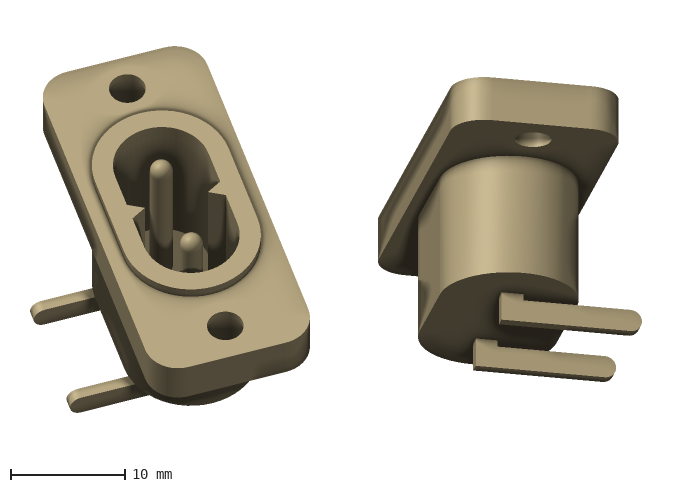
import cadquery as cq

flange_length = 34.8
flange_width = 14.95
flange_thickness = 4.07
flange_corner_radius = 3.0
mount_hole_spacing = 27.98
mount_hole_diameter = 3.2

housing_length = 20.5
housing_width = 12.25
rim_height = 1.0
housing_drop = 11.1
housing_top = flange_thickness + rim_height

cavity_length = 16.77
cavity_width = 8.55
floor_thickness = 2.02
cavity_floor = floor_thickness - housing_drop
cavity_depth = housing_top - cavity_floor
key_width = 1.6
key_height = 1.4

contact_spacing = 8.6
contact_diameter = 2.02
contact_radius = contact_diameter / 2
contact_tip = housing_top

terminal_spacing = 10.37
terminal_thickness = 1.05
terminal_drop = 2.6
terminal_height = 2.02
terminal_leg_half_width = 0.97
terminal_reach = 11.6
terminal_bottom = -housing_drop - terminal_drop


def make_flange():
    plate = cq.Workplane("XY").rect(flange_length, flange_width).extrude(flange_thickness)
    return plate.edges("|Z").fillet(flange_corner_radius)


def make_housing():
    return (
        cq.Workplane("XY", origin=(0, 0, -housing_drop))
        .slot2D(housing_length, housing_width)
        .extrude(housing_drop + housing_top)
    )


def make_cavity():
    cavity = (
        cq.Workplane("XY", origin=(0, 0, cavity_floor))
        .slot2D(cavity_length, cavity_width)
        .extrude(cavity_depth)
    )
    for side in (-1, 1):
        wall = side * cavity_width / 2
        key = (
            cq.Workplane("XY", origin=(0, 0, cavity_floor))
            .moveTo(-key_width / 2, wall)
            .lineTo(key_width / 2, wall)
            .lineTo(0, wall - side * key_height)
            .close()
            .extrude(cavity_depth)
        )
        cavity = cavity.cut(key)
    return cavity


def make_contact(x):
    shoulder = contact_tip - contact_radius
    root = cavity_floor - floor_thickness / 2
    return (
        cq.Workplane("XZ", origin=(x, 0, 0))
        .moveTo(0, root)
        .lineTo(contact_radius, root)
        .lineTo(contact_radius, shoulder)
        .radiusArc((0, contact_tip), -contact_radius)
        .close()
        .revolve(360, (0, 0, 0), (0, 1, 0))
    )


def make_terminal(x):
    arm_top = terminal_bottom + terminal_height
    end_radius = terminal_height / 2
    end_start = end_radius - terminal_reach
    return (
        cq.Workplane("YZ", origin=(x - terminal_thickness / 2, 0, 0))
        .moveTo(terminal_leg_half_width, -housing_drop)
        .lineTo(-terminal_leg_half_width, -housing_drop)
        .lineTo(-terminal_leg_half_width, arm_top)
        .lineTo(end_start, arm_top)
        .threePointArc((-terminal_reach, arm_top - end_radius), (end_start, terminal_bottom))
        .lineTo(terminal_leg_half_width, terminal_bottom)
        .close()
        .extrude(terminal_thickness)
    )


mount_holes = (
    cq.Workplane("XY")
    .pushPoints([(-mount_hole_spacing / 2, 0), (mount_hole_spacing / 2, 0)])
    .circle(mount_hole_diameter / 2)
    .extrude(flange_thickness)
)

result = make_flange().cut(mount_holes).union(make_housing()).cut(make_cavity())
for side in (-1, 1):
    result = result.union(make_contact(side * contact_spacing / 2))
    result = result.union(make_terminal(side * terminal_spacing / 2))